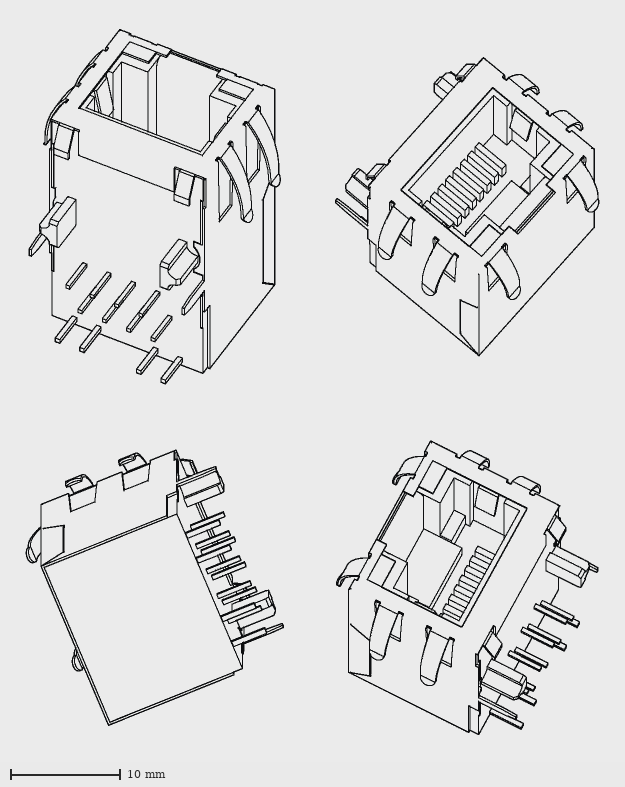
import cadquery as cq
import math


height = 25.4
overall_width = 21.51
overall_depth = 19.75
half_width = 8.1
back_y = 13.39
sheet = 0.23
side_front_y = -0.08

housing_half = half_width - sheet
housing_back = back_y - sheet
housing_top = height - sheet
housing_bottom = 0.08
rear_chamfer = 0.18

opening_half = 6.45
opening_front, opening_back = 2.51, 12.3
notch_half = 2.62
cavity_half = 5.97
cavity_front, cavity_back = 3.05, 9.83
cavity_floor = 12.7
ledge_front, ledge_top = 8.65, 15.25
latch_half = 3.23
latch_front, latch_back = 7.57, 11.53
latch_floor = 14.73
latch_round = opening_back - latch_back
lamp_inner, lamp_front = 3.68, 10.82

contact_count = 8
contact_pitch = 1.05
contact_width = 0.55
contact_back, contact_top = 6.3, 15.25

tongue_mid_y, tongue_width = 6.43, 2.0
tongue_bend_x, tongue_tip_x, tongue_tip_z = 6.17, 5.45, 21.34
tongue_overlap = 0.2
pocket_width = 3.55

spring_reach = overall_width / 2 - half_width
spring_belly = 2.25
belly_top, belly_bottom = 18.85, 18.42
tip_z = 17.7
spring_top_width, spring_tip_width = 1.93, 1.52
window_top_width, window_bottom_width = 2.85, 2.41
window_bottom = 17.37
window_depth = 0.3
root_length = 0.5
side_spring_ys = [3.95, 9.25]
back_spring_x = 5.5

tab_half, tab_bottom = 4.98, 22.35
front_spring_x, front_spring_width = 6.3, 1.52
front_spring_reach, front_spring_bend = 1.2, 23.16

foot_y, foot_z = 0.91, 8.18
leg_low, leg_high = 10.95, 12.25
leg_taper_y, leg_tip_inset = -2.67, 0.23
leg_tip_y = housing_back + spring_reach - overall_depth
relief_y, relief_z = 0.2, 21.5
flap_front, flap_low, flap_high = 11.07, 2.15, 12.93
flap_root_low, flap_root_high = 0.15, 15.05
slit = 0.1

pad_inner = 7.65
pad_spans = [(5.95, 10.08), (16.71, 22.35)]

flange_low, flange_high = 12.78, 16.71
right_flange_inner, left_flange_inner = 6.93, 7.52
right_clearance, left_clearance = 1.93, 2.05

peg_z = 14.6
peg_centre_x = 5.66
peg_inner, peg_bar_outer, peg_neck, peg_outer = 5.35, 6.2, 7.05, 7.37
peg_half, peg_shoulder, peg_tip_half = 1.65, 1.05, 0.38
peg_cove_x, peg_cove_z = 6.5, 0.6
peg_length, peg_chamfer = 3.63, 0.3

pin_length = 3.28
pin_size, lamp_pin_size = 0.4, 0.48
pin_rows = [
    ([-4.45, -1.9, 0.64, 3.18], 8.25, pin_size),
    ([-3.18, -0.64, 1.9, 4.45], 5.7, pin_size),
    ([-5.5, -2.97, 2.97, 5.5], 0.81, lamp_pin_size),
]


def box(x0, x1, y0, y1, z0, z1):
    return cq.Workplane("XY").box(x1 - x0, y1 - y0, z1 - z0, centered=False).translate((x0, y0, z0))


def both_sides(body):
    """The +X body together with its mirror image on the -X side."""
    return body.union(body.mirror("YZ"))


def flange(side, inner, clearance):
    """Inward flange of a side plate, cut round around the peg. side is +1 or -1."""
    x0, x1 = sorted((side * inner, side * half_width))
    plate = box(x0, x1, side_front_y, side_front_y + sheet, flange_low, flange_high)
    round_cut = (
        cq.Workplane("XZ").center(side * peg_centre_x, peg_z)
        .circle(clearance).extrude(sheet, both=True)
    )
    return plate.cut(round_cut)


def flanges():
    """Flanges of both side plates; the one at -X is narrower."""
    right = flange(1, right_flange_inner, right_clearance)
    left = flange(-1, left_flange_inner, left_clearance)
    return right.union(left)


def cavity():
    main = box(-cavity_half, cavity_half, cavity_front, cavity_back, cavity_floor, height)
    ledge = box(-cavity_half, cavity_half, ledge_front, cavity_back, cavity_floor, ledge_top)
    latch_block = box(-latch_half, latch_half, latch_front, latch_back, cavity_floor, latch_floor)
    latch = box(-latch_half, latch_half, latch_front, latch_back, latch_floor, height)
    return main.cut(ledge).cut(latch_block).union(latch)


def latch_lip():
    """Material removed to round the top edge of the latch channel."""
    corner = box(-latch_half, latch_half, latch_back, opening_back, housing_top - latch_round, height)
    roll = (
        cq.Workplane("YZ").center(opening_back, housing_top - latch_round)
        .circle(latch_round).extrude(latch_half, both=True)
    )
    return corner.cut(roll)


def tongue_pocket():
    y0 = tongue_mid_y - pocket_width / 2
    return box(cavity_half, opening_half + tongue_overlap, y0, y0 + pocket_width, cavity_floor, height)


def contacts():
    bars = cq.Workplane("XY")
    for i in range(contact_count):
        x = (i - (contact_count - 1) / 2) * contact_pitch
        bars = bars.union(box(x - contact_width / 2, x + contact_width / 2,
                              cavity_front, contact_back, cavity_floor, contact_top))
    return bars


def peg():
    """Locating peg on the +X side: a bar with a coved tip pointing outwards."""
    body = (
        cq.Workplane("XZ")
        .moveTo(peg_inner, -peg_half)
        .lineTo(peg_bar_outer, -peg_half)
        .lineTo(peg_bar_outer, -peg_shoulder)
        .threePointArc((peg_cove_x, -peg_cove_z), (peg_neck, -peg_tip_half))
        .lineTo(peg_outer, -peg_tip_half)
        .lineTo(peg_outer, peg_tip_half)
        .lineTo(peg_neck, peg_tip_half)
        .threePointArc((peg_cove_x, peg_cove_z), (peg_bar_outer, peg_shoulder))
        .lineTo(peg_bar_outer, peg_half)
        .lineTo(peg_inner, peg_half)
        .close().extrude(peg_length)
    )
    end = body.faces("<Y")
    body = end.edges("<Z or >Z or >X").chamfer(peg_chamfer)
    return body.translate((0, 0, peg_z))


def pins():
    group = cq.Workplane("XY")
    for xs, z, size in pin_rows:
        half = size / 2
        for x in xs:
            group = group.union(box(x - half, x + half, -pin_length, 0, z - half, z + half))
    return group


def pads():
    group = cq.Workplane("XY")
    for low, high in pad_spans:
        group = group.union(both_sides(box(pad_inner, housing_half, side_front_y, 0, low, high)))
    return group


def make_housing():
    block = box(-housing_half, housing_half, 0, housing_back, housing_bottom, housing_top)
    block = block.edges("|X and >Y and >Z").chamfer(rear_chamfer)
    lamp = box(lamp_inner, opening_half, lamp_front, opening_back, housing_top, height)
    block = block.cut(cavity()).cut(latch_lip()).cut(both_sides(tongue_pocket()))
    block = block.cut(flanges()).union(pads())
    return block.union(contacts()).union(both_sides(lamp)).union(both_sides(peg())).union(pins())


def taper(top_width, bottom_width, bottom):
    """Outline in Y and Z that narrows from the top of the shield downwards."""
    return cq.Workplane("YZ").polyline([
        (-top_width / 2, height), (top_width / 2, height),
        (bottom_width / 2, bottom), (-bottom_width / 2, bottom)]).close()


def spring():
    """Grounding spring bulging towards +X from the base plane x = 0, centred on y = 0."""
    drop = height - belly_top
    radius = (spring_belly ** 2 + drop ** 2) / (2 * spring_belly)
    start = math.asin(drop / radius)

    def bow(r, angle):
        return (spring_belly - radius + r * math.cos(angle), belly_top + r * math.sin(angle))

    inner = radius - sheet
    belly_inner = spring_belly - sheet
    strip = (
        cq.Workplane("XZ")
        .moveTo(-root_length, height)
        .lineTo(*bow(radius, start))
        .threePointArc(bow(radius, start / 2), bow(radius, 0))
        .lineTo(spring_belly, belly_bottom)
        .lineTo(spring_reach, tip_z)
        .lineTo(spring_reach - sheet, tip_z)
        .lineTo(belly_inner, belly_bottom)
        .lineTo(belly_inner, belly_top)
        .threePointArc(bow(inner, start / 2), bow(inner, start))
        .lineTo(-root_length, housing_top)
        .close().extrude(spring_top_width, both=True)
    )
    tip_radius = spring_tip_width / 2
    outline = (
        taper(spring_top_width, spring_tip_width, tip_z + tip_radius)
        .extrude(2 * spring_reach, both=True)
    )
    tip = (
        cq.Workplane("YZ").center(0, tip_z + tip_radius).circle(tip_radius)
        .extrude(2 * spring_reach, both=True)
    )
    return strip.intersect(outline.union(tip))


def window():
    """Clearance around a spring, cut through the wall and the edge of the top plate."""
    return (
        taper(window_top_width, window_bottom_width, window_bottom)
        .extrude(2 * window_depth + sheet).translate((-window_depth, 0, 0))
    )


def at_spring_places(body, back_base):
    """Copies of a body at the four side places and, based at y = back_base, the two back places."""
    placed = cq.Workplane("XY")
    for y in side_spring_ys:
        placed = placed.union(both_sides(body.translate((half_width, y, 0))))
    turned = body.rotate((0, 0, 0), (0, 0, 1), 90)
    return placed.union(both_sides(turned.translate((back_spring_x, back_base, 0))))


def side_plate():
    """Side plate on the +X side with its board leg and the slit around the rear flap."""
    plate = (
        cq.Workplane("YZ")
        .polyline([
            (back_y, 0), (foot_y, 0), (foot_y, foot_z), (side_front_y, foot_z),
            (side_front_y, leg_low), (leg_taper_y, leg_low),
            (leg_tip_y, leg_low + leg_tip_inset), (leg_tip_y, leg_high - leg_tip_inset),
            (leg_taper_y, leg_high), (side_front_y, leg_high),
            (side_front_y, relief_z), (relief_y, relief_z), (relief_y, height), (back_y, height)])
        .close().extrude(sheet)
    )
    flap = (
        cq.Workplane("YZ")
        .polyline([(housing_back, flap_root_low), (flap_front, flap_low),
                   (flap_front, flap_high), (housing_back, flap_root_high)])
        .close()
    )
    groove = flap.extrude(sheet)
    groove = groove.cut(groove.translate((0, slit, 0)))
    return plate.cut(groove).translate((housing_half, 0, 0))


def top_plate():
    plate = box(-half_width, half_width, 0, back_y, housing_top, height)
    opening = box(-opening_half, opening_half, opening_front, opening_back, housing_top, height)
    notch = box(-notch_half, notch_half, opening_back, back_y, housing_top, height)
    return plate.cut(opening).cut(notch)


def bend_rounding():
    """Material removed along the top edges where the sides and back bend into the top plate."""
    side = box(housing_half, half_width, 0, back_y, housing_top, height)
    side_bend = (
        cq.Workplane("XZ").center(housing_half, housing_top).circle(sheet)
        .extrude(back_y, both=True)
    )
    rear = box(-half_width, half_width, housing_back, back_y, housing_top, height)
    rear_bend = (
        cq.Workplane("YZ").center(housing_back, housing_top).circle(sheet)
        .extrude(half_width, both=True)
    )
    return both_sides(side.cut(side_bend)).union(rear.cut(rear_bend))


def front_tab():
    """Tab folded from the top plate over the board face."""
    tab = box(-tab_half, tab_half, -sheet, sheet, tab_bottom, height)
    tab = tab.edges("|X and <Y and >Z").fillet(sheet)
    inner = box(-tab_half, tab_half, 0, sheet, tab_bottom, housing_top)
    return tab.cut(inner)


def tongue():
    """Guide tongue on the +X side, fixed under the top plate and leaning into the cavity."""
    under = housing_top - sheet
    return (
        cq.Workplane("XZ")
        .polyline([
            (opening_half + tongue_overlap, housing_top), (tongue_bend_x, housing_top),
            (tongue_tip_x, tongue_tip_z), (tongue_tip_x + sheet, tongue_tip_z),
            (tongue_bend_x + sheet, under), (opening_half + tongue_overlap, under)])
        .close().extrude(tongue_width / 2, both=True)
        .translate((0, tongue_mid_y, 0))
    )


def front_spring():
    """Short spring over the +X end of the board face."""
    inner_reach = front_spring_reach - sheet
    return (
        cq.Workplane("YZ")
        .polyline([
            (0, height), (-sheet, height - sheet / 2), (-front_spring_reach, front_spring_bend),
            (-front_spring_reach, tab_bottom), (-inner_reach, tab_bottom),
            (-inner_reach, front_spring_bend), (0, housing_top)])
        .close().extrude(front_spring_width / 2, both=True)
        .translate((front_spring_x, 0, 0))
    )


def make_shield():
    back = box(-half_width, half_width, housing_back, back_y, 0, housing_top)
    shell = back.union(top_plate()).union(both_sides(side_plate()))
    shell = shell.cut(bend_rounding())
    shell = shell.cut(at_spring_places(window(), back_y))
    shell = shell.union(at_spring_places(spring(), housing_back))
    shell = shell.union(flanges())
    shell = shell.union(both_sides(tongue())).union(both_sides(front_spring()))
    return shell.union(front_tab())


housing = make_housing()
shield = make_shield()
result = cq.Compound.makeCompound([housing.val(), shield.val()])